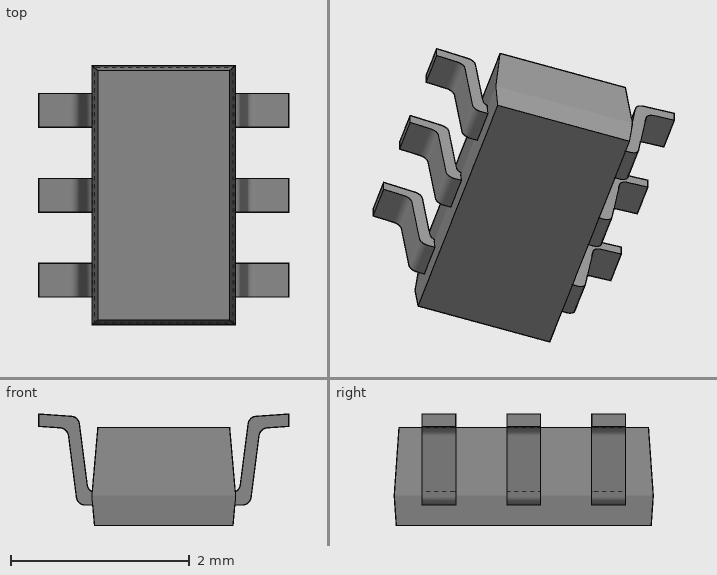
import cadquery as cq
import math

body_width = 1.61
body_length = 2.9
body_height = 1.1
parting_height = 0.335
draft_x = math.radians(5)
draft_y = math.radians(4)

lead_span = 2.8
lead_width = 0.38
lead_thickness = 0.14
lead_pitch = 0.95
leads_per_side = 3
lead_top = 1.25
shoulder_bottom = 0.23
knee_x = 0.967
foot_slope = math.radians(4)
leg_lean = math.radians(7.3)
bend_radius = 0.1
lead_embed = 0.2


def tapered_half(height):
    """Frustum of signed height, widest at the parting plane."""
    inset_x = abs(height) * math.tan(draft_x)
    inset_y = abs(height) * math.tan(draft_y)
    return (
        cq.Workplane("XY", origin=(0, 0, parting_height))
        .rect(body_width, body_length)
        .workplane(offset=height)
        .rect(body_width - 2 * inset_x, body_length - 2 * inset_y)
        .loft(ruled=True)
    )


def make_lead():
    """One lead on the +X side, centred on Y = 0."""
    toe_x = lead_span / 2
    root_x = body_width / 2 - lead_embed
    shoulder_top = shoulder_bottom + lead_thickness
    foot_height = lead_thickness / math.cos(foot_slope)
    leg_width = lead_thickness / math.cos(leg_lean)

    def leg_point(height, offset):
        """Point on a leg face, offset in X from the outer face."""
        x = knee_x + (height - shoulder_bottom) * math.tan(leg_lean) + offset
        return (x, height)

    def foot_corner(toe_height, offset):
        """Sharp corner where a leg face meets a foot face that starts at toe_height."""
        base_x = leg_point(0, offset)[0]
        drop_from_base = (toe_x - base_x) * math.tan(foot_slope)
        slope_factor = 1 - math.tan(leg_lean) * math.tan(foot_slope)
        return leg_point((toe_height - drop_from_base) / slope_factor, offset)

    lower_outer_bend = leg_point(shoulder_bottom, 0)
    upper_inner_bend = foot_corner(lead_top - foot_height, 0)
    upper_outer_bend = foot_corner(lead_top, -leg_width)
    lower_inner_bend = leg_point(shoulder_top, -leg_width)
    profile = [
        (root_x, shoulder_bottom),
        lower_outer_bend,
        upper_inner_bend,
        (toe_x, lead_top - foot_height),
        (toe_x, lead_top),
        upper_outer_bend,
        lower_inner_bend,
        (root_x, shoulder_top),
    ]
    lead = cq.Workplane("XZ").polyline(profile).close().extrude(lead_width / 2, both=True)
    for x, z in (lower_outer_bend, upper_inner_bend, upper_outer_bend, lower_inner_bend):
        bend_edge = cq.selectors.NearestToPointSelector((x, 0, z))
        lead = lead.edges(bend_edge).fillet(bend_radius)
    return lead


result = tapered_half(body_height - parting_height).union(tapered_half(-parting_height))

right_lead = make_lead()
left_lead = right_lead.mirror("YZ")
for index in range(leads_per_side):
    lead_y = (index - (leads_per_side - 1) / 2) * lead_pitch
    for lead in (left_lead, right_lead):
        result = result.union(lead.translate((0, lead_y, 0)))